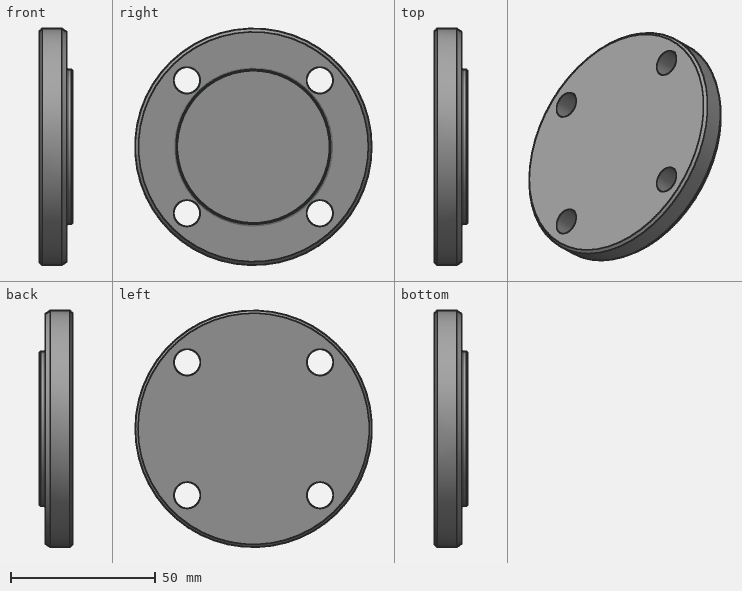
import cadquery as cq
import math

flange_diameter = 82.0
total_thickness = 11.5
raised_face_diameter = 53.6
raised_face_height = 2.0
plate_thickness = total_thickness - raised_face_height

back_chamfer = 1.0
front_chamfer_length = 1.8
front_chamfer_depth = 1.2
face_chamfer = 0.5
root_fillet = 0.5

hole_diameter = 9.0
hole_spacing = 46.0


def make_body():
    """Revolve the half section (X along the axis, Y as radius) about X."""
    flange_radius = flange_diameter / 2
    face_radius = raised_face_diameter / 2
    fillet_offset = root_fillet * (1 - math.sqrt(0.5))
    section = (
        cq.Workplane("XY")
        .lineTo(0, flange_radius - back_chamfer)
        .lineTo(back_chamfer, flange_radius)
        .lineTo(plate_thickness - front_chamfer_length, flange_radius)
        .lineTo(plate_thickness, flange_radius - front_chamfer_depth)
        .lineTo(plate_thickness, face_radius + root_fillet)
        .threePointArc(
            (plate_thickness + fillet_offset, face_radius + fillet_offset),
            (plate_thickness + root_fillet, face_radius),
        )
        .lineTo(total_thickness - face_chamfer, face_radius)
        .lineTo(total_thickness, face_radius - face_chamfer)
        .lineTo(total_thickness, 0)
        .close()
    )
    return section.revolve(360, (0, 0, 0), (1, 0, 0))


def make_bolt_holes():
    """Four through holes on a square centred on the axis."""
    return (
        cq.Workplane("YZ")
        .rect(hole_spacing, hole_spacing, forConstruction=True)
        .vertices()
        .circle(hole_diameter / 2)
        .extrude(total_thickness)
    )


result = make_body().cut(make_bolt_holes())